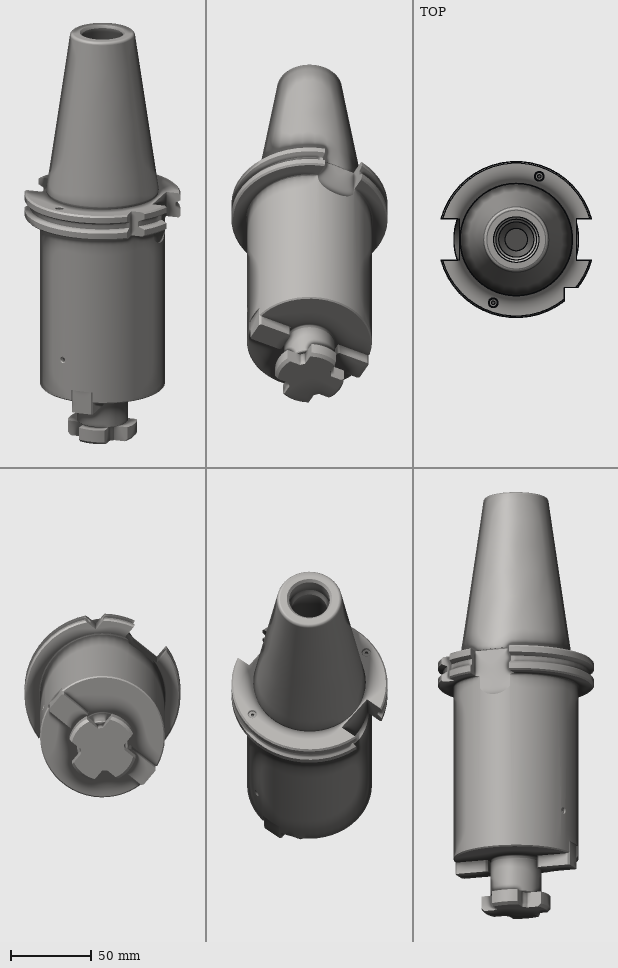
import math
import cadquery as cq

gauge_radius = 69.85 / 2
taper_length = 101.75
taper_slope = 7 / 48
nose_radius = gauge_radius - taper_slope * taper_length
nose_fillet = 2.0
taper_overrun = 1.7
taper_foot_radius = gauge_radius + taper_slope * taper_overrun
relief_radius = gauge_radius

flange_radius = 97.5 / 2
flange_top = -3.2
flange_bottom = -19.1
flange_chamfer = 1.0
groove_centre = -11.1
groove_base_radius = 91.25 / 2
groove_base_width = 3.2
groove_flank_angle = 30

body_radius = 39.0
body_bottom = -130.0
body_chamfer = 0.8
body_top_fillet = 0.8
pilot_radius = 16.0
undercut_radius = 15.5
undercut_fillet = 0.8
undercut_height = 2.5
undercut_shoulder = 0.5
pilot_chamfer = 0.5
head_top = -153.5

head_bottom = -163.0
head_height = head_top - head_bottom
head_radius = 21.5
head_core_radius = 13.7
head_arm_width = 17.0
head_chamfer = 1.8

bore_mouth_radius = 14.2
bore_mouth_depth = 1.5
bore_radius = 12.7
bore_depth = 10.8
thread_radius = 11.0
thread_lead_angle = 60
thread_depth = 45.0
bore_tip_radius = 7.0
bore_tip_angle = 30

keyway_width = 25.7
keyway_floor_left = 35.5
keyway_floor_right = 37.7
notch_offset = 30.0

key_width = 14.0
key_inner = 16.5
key_outer = 38.2
key_top = -122.5
key_bottom = -137.3
key_chamfer = 1.1

coolant_angle = 20
flange_hole_circle = 42.0
flange_hole_radius = 3.0
body_hole_radius = 2.1
body_hole_z = -104.0
hole_depth = 1.0
hole_countersink = 0.5
socket_across_corners = 2.4
socket_depth = 2.0


def revolve(outline):
    """Solid of revolution about Z from a closed outline in the (r, z) plane."""
    return outline.close().revolve(360, (0, 0, 0), (0, 1, 0))


def box(x_range, y_range, z_range):
    """Box between the given limits."""
    limits = (x_range, y_range, z_range)
    sizes = [high - low for low, high in limits]
    corner = tuple(low for low, high in limits)
    return cq.Workplane("XY").box(*sizes, centered=False).translate(corner)


def make_turned_body():
    """Taper, flange, cylindrical body and pilot."""
    flank = (flange_radius - groove_base_radius) * math.tan(math.radians(groove_flank_angle))
    half_base = groove_base_width / 2
    half_groove = half_base + flank
    undercut_bottom = body_bottom - undercut_height

    taper_angle = math.atan(taper_slope)
    nose_tangent = nose_fillet * math.tan((math.pi / 2 - taper_angle) / 2)
    nose_end_radius = nose_radius - nose_tangent
    fillet_end_radius = nose_radius + nose_tangent * math.sin(taper_angle)
    fillet_end_z = taper_length - nose_tangent * math.cos(taper_angle)

    outline = (
        cq.Workplane("YZ")
        .moveTo(0, taper_length)
        .lineTo(nose_end_radius, taper_length)
        .tangentArcPoint((fillet_end_radius, fillet_end_z), relative=False)
        .lineTo(taper_foot_radius, -taper_overrun)
        .lineTo(relief_radius, -taper_overrun)
        .lineTo(relief_radius, flange_top)
        .lineTo(flange_radius - flange_chamfer, flange_top)
        .lineTo(flange_radius, flange_top - flange_chamfer)
        .lineTo(flange_radius, groove_centre + half_groove)
        .lineTo(groove_base_radius, groove_centre + half_base)
        .lineTo(groove_base_radius, groove_centre - half_base)
        .lineTo(flange_radius, groove_centre - half_groove)
        .lineTo(flange_radius, flange_bottom + flange_chamfer)
        .lineTo(flange_radius - flange_chamfer, flange_bottom)
        .lineTo(body_radius + body_top_fillet, flange_bottom)
        .tangentArcPoint((body_radius, flange_bottom - body_top_fillet), relative=False)
        .lineTo(body_radius, body_bottom + body_chamfer)
        .lineTo(body_radius - body_chamfer, body_bottom)
        .lineTo(undercut_radius + undercut_fillet, body_bottom)
        .tangentArcPoint((undercut_radius, body_bottom - undercut_fillet), relative=False)
        .lineTo(undercut_radius, undercut_bottom + undercut_shoulder)
        .lineTo(pilot_radius, undercut_bottom)
        .lineTo(pilot_radius, head_top + pilot_chamfer)
        .lineTo(pilot_radius - pilot_chamfer, head_top)
        .lineTo(0, head_top)
    )
    return revolve(outline)


def make_bore():
    """Stepped draw bar bore with a conical lead and a truncated conical end."""
    lead_top = taper_length - bore_depth
    lead_drop = (bore_radius - thread_radius) * math.tan(math.radians(thread_lead_angle))
    thread_end = taper_length - thread_depth
    tip_drop = (thread_radius - bore_tip_radius) * math.tan(math.radians(bore_tip_angle))
    outline = cq.Workplane("YZ").polyline([
        (0, taper_length),
        (bore_mouth_radius, taper_length),
        (bore_radius, taper_length - bore_mouth_depth),
        (bore_radius, lead_top),
        (thread_radius, lead_top - lead_drop),
        (thread_radius, thread_end),
        (bore_tip_radius, thread_end - tip_drop),
        (0, thread_end - tip_drop),
    ])
    return revolve(outline)


def make_screw_head():
    """Cross of two arms on a round core, trimmed by a chamfered disc."""
    half_arm = head_arm_width / 2
    z_range = (head_bottom, head_top)
    arm_x = box((-head_radius, head_radius), (-half_arm, half_arm), z_range)
    arm_y = box((-half_arm, half_arm), (-head_radius, head_radius), z_range)
    core = cq.Workplane("XY", origin=(0, 0, head_bottom)).circle(head_core_radius).extrude(head_height)
    disc = cq.Workplane("XY", origin=(0, 0, head_bottom)).circle(head_radius).extrude(head_height)
    disc = disc.faces("<Z").edges().chamfer(head_chamfer)
    return core.union(arm_x).union(arm_y).intersect(disc)


def make_keyway(side, floor):
    """Keyway cutter on the side x = +/-1, open at the top and round at its lower end."""
    half_width = keyway_width / 2
    cutter = (
        cq.Workplane("YZ", origin=(floor, 0, 0))
        .moveTo(-half_width, flange_top)
        .lineTo(-half_width, flange_bottom)
        .threePointArc((0, flange_bottom - half_width), (half_width, flange_bottom))
        .lineTo(half_width, flange_top)
        .close()
        .extrude(flange_radius - floor)
    )
    if side < 0:
        cutter = cutter.mirror("YZ")
    return cutter


def make_notch():
    """Corner cutter through the full flange height."""
    return box(
        (notch_offset, flange_radius),
        (-flange_radius, -notch_offset),
        (flange_bottom, flange_top),
    )


def make_key_slot():
    """Slot in the body that seats the driving key on the -Y side."""
    half_width = key_width / 2
    return box((-half_width, half_width), (-body_radius, -key_inner), (body_bottom, key_top))


def make_key():
    """Driving key on the -Y side with chamfered upright edges."""
    half_width = key_width / 2
    key = box((-half_width, half_width), (-key_outer, -key_inner), (key_bottom, key_top))
    return key.edges("|Z").chamfer(key_chamfer)


def make_plugged_hole(radius):
    """Countersunk hole cutter running down from the origin, with a hexagon socket in its floor."""
    outline = cq.Workplane("YZ").polyline([
        (0, 0),
        (radius, 0),
        (radius - hole_countersink, -hole_countersink),
        (radius - hole_countersink, -hole_depth),
        (0, -hole_depth),
    ])
    socket = cq.Workplane("XY").polygon(6, socket_across_corners).extrude(-hole_depth - socket_depth)
    return revolve(outline).union(socket)


def make_coolant_cutters():
    """One flange hole and one radial body hole, both turned from the -Y direction."""
    flange_hole = make_plugged_hole(flange_hole_radius).translate((0, -flange_hole_circle, flange_top))
    body_hole = (
        make_plugged_hole(body_hole_radius)
        .rotate((0, 0, 0), (1, 0, 0), 90)
        .translate((0, -body_radius, body_hole_z))
    )
    return flange_hole.union(body_hole).rotate((0, 0, 0), (0, 0, 1), -coolant_angle)


def turned(shape, angle):
    """Copy of a shape turned about Z."""
    return shape.rotate((0, 0, 0), (0, 0, 1), angle)


result = make_turned_body().union(make_screw_head()).cut(make_bore())
result = result.cut(make_keyway(-1, keyway_floor_left)).cut(make_keyway(1, keyway_floor_right))
result = result.cut(make_notch())
for half_turn in (0, 180):
    result = result.cut(turned(make_key_slot(), half_turn))
    result = result.union(turned(make_key(), half_turn))
    result = result.cut(turned(make_coolant_cutters(), half_turn))